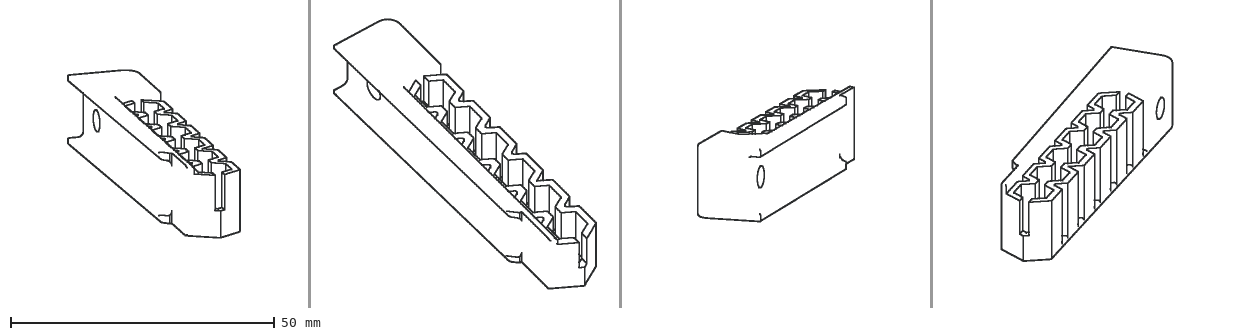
import cadquery as cq
import math

LENGTH = 68.45
DEPTH = 13.5
HEIGHT = 14.0
MID_Z = HEIGHT / 2
EDGE_RADIUS = 0.5
CORNER_RADIUS = 3.0

SOCKETS = 6
PITCH = 8.5
OUTER_RADIUS = 5.5
SOCKET_FLATS = 6.65
SOCKET_RADIUS = SOCKET_FLATS / math.sqrt(3)
ROW_Y = DEPTH - OUTER_RADIUS * math.cos(math.radians(30))
LAST_X = LENGTH - OUTER_RADIUS
FIRST_X = LAST_X - PITCH * (SOCKETS - 1)
SOCKET_XS = [FIRST_X + PITCH * i for i in range(SOCKETS)]
SOCKET_TOP = 12.45
FLOOR_Z = 1.5
PASSAGE_WIDTH = 1.85
END_SLOT_Z = 5.5
NOTCH_RADIUS = 0.5
SHARP_NOTCH = 3

RECESS_TIP_X = 13.9
RECESS_Y = 4.3

FRONT_WALL_Y = 2.95
RAIL_END_X = 56.15
RAIL_DRAFT = 1.0
RAIL_THICKNESS = 1.5
CHANNEL_FILLET = 1.0
RAIL_END_FACE = 0.4
RAIL_END_RADIUS = 2.0

HOLE_DIAMETER = 4.2
HOLE_X = 8.75

HEX_SLOPE = math.tan(math.radians(30))
RAIL_SLOPE = math.tan(math.radians(RAIL_DRAFT))
RAIL_END_Y = RAIL_END_X * RAIL_SLOPE
OVERRUN = 3.4
TOLERANCE = 0.01


def near(a, b):
    return abs(a - b) < TOLERANCE


def prism(points, bottom, top):
    base = cq.Workplane("XY").workplane(offset=bottom)
    return base.polyline(points).close().extrude(top - bottom)


def hexagon(x, radius, bottom, top):
    angles = [math.radians(60 * i) for i in range(6)]
    points = [(x + radius * math.cos(a), ROW_Y + radius * math.sin(a)) for a in angles]
    return prism(points, bottom, top)


def fillet_where(part, test, radius):
    chosen = part.edges().filter(test)
    return part.newObject(chosen.vals()).fillet(radius)


def recess():
    far_x = LENGTH + OVERRUN
    far_y = DEPTH + OVERRUN
    front_corner_x = RECESS_TIP_X + (ROW_Y - RECESS_Y) * HEX_SLOPE
    points = [
        (RECESS_TIP_X, ROW_Y),
        (front_corner_x, RECESS_Y),
        (far_x, RECESS_Y),
        (far_x, far_y),
        (RECESS_TIP_X + (far_y - ROW_Y) * HEX_SLOPE, far_y),
    ]
    space = prism(points, FLOOR_Z, HEIGHT + OVERRUN)

    def is_inner_corner(edge):
        middle = edge.Center()
        is_vertical = edge.BoundingBox().zlen > TOLERANCE
        return is_vertical and middle.x < front_corner_x + TOLERANCE and middle.y < DEPTH

    return fillet_where(space, is_inner_corner, EDGE_RADIUS)


def is_body_rounding(edge):
    """True for the body edges that are rounded before the channel is cut."""
    middle = edge.Center()
    on_front_wall = near(middle.y, FRONT_WALL_Y)
    on_rail_end = near(middle.x, RAIL_END_X)
    on_back = near(middle.y, DEPTH)
    if edge.BoundingBox().zlen > TOLERANCE:
        wall_corner = on_front_wall and middle.x > RAIL_END_X + TOLERANCE
        recess_corner = on_back and RECESS_TIP_X < middle.x < FIRST_X
        return wall_corner or recess_corner
    if near(middle.z, FLOOR_Z):
        return on_back
    return not (on_front_wall or on_rail_end)


def body():
    outline = [
        (0, 0),
        (RAIL_END_X, RAIL_END_Y),
        (RAIL_END_X, FRONT_WALL_Y),
        (LENGTH - (ROW_Y - FRONT_WALL_Y) * HEX_SLOPE, FRONT_WALL_Y),
        (LENGTH, ROW_Y),
        (LENGTH - (DEPTH - ROW_Y) * HEX_SLOPE, DEPTH),
        (0, DEPTH),
    ]
    block = prism(outline, 0, HEIGHT)
    block = block.edges("|Z").edges("<X").edges(">Y").fillet(CORNER_RADIUS)
    return fillet_where(block.cut(recess()), is_body_rounding, EDGE_RADIUS)


def is_channel_rim(edge):
    """True for the channel mouth at the -X end and for the inner front edges of the rails."""
    middle = edge.Center()
    box = edge.BoundingBox()
    between_rails = abs(middle.z - MID_Z) < MID_Z - RAIL_THICKNESS + TOLERANCE
    at_mouth = box.xmax < TOLERANCE and middle.y < FRONT_WALL_Y + TOLERANCE
    rail_front = box.xlen > RAIL_END_X / 2 and middle.y < RAIL_END_Y
    return between_rails and (at_mouth or rail_front)


def cut_channel(part):
    channel = (
        cq.Workplane("XY")
        .box(
            RAIL_END_X + OVERRUN,
            FRONT_WALL_Y + OVERRUN,
            HEIGHT - 2 * RAIL_THICKNESS,
            centered=False,
        )
        .translate((-OVERRUN, -OVERRUN, RAIL_THICKNESS))
        .edges("|X and >Y")
        .fillet(CHANNEL_FILLET)
    )
    return fillet_where(part.cut(channel), is_channel_rim, EDGE_RADIUS)


def cut_rail_ends(part):
    bevel_y = FRONT_WALL_Y - RAIL_END_FACE
    meet_x = (RAIL_END_X - bevel_y) / (1 - RAIL_SLOPE)
    meet_y = meet_x * RAIL_SLOPE
    start_x = meet_x - RAIL_END_RADIUS
    far_x = RAIL_END_X + OVERRUN
    points = [
        (RAIL_END_X, bevel_y),
        (meet_x, meet_y),
        (start_x, start_x * RAIL_SLOPE),
        (start_x, -OVERRUN),
        (far_x, -OVERRUN),
        (far_x, bevel_y),
    ]
    waste = prism(points, 0, HEIGHT)
    bend = waste.edges(cq.selectors.NearestToPointSelector((meet_x, meet_y, MID_Z)))
    return part.cut(bend.fillet(RAIL_END_RADIUS))


def is_rounded_notch(edge):
    """True for the inner corner of each notch between neighbouring socket walls."""
    middle = edge.Center()
    gap = (middle.x - FIRST_X) / PITCH - 0.5
    is_vertical = edge.BoundingBox().zlen > TOLERANCE
    is_sharp = round(gap) == SHARP_NOTCH and middle.y > ROW_Y
    return is_vertical and near(gap, round(gap)) and not is_sharp


def socket_block():
    bottom = FLOOR_Z - EDGE_RADIUS
    block = hexagon(FIRST_X, OUTER_RADIUS, bottom, SOCKET_TOP)
    for x in SOCKET_XS[1:]:
        block = block.union(hexagon(x, OUTER_RADIUS, bottom, SOCKET_TOP))
    block = fillet_where(block, is_rounded_notch, NOTCH_RADIUS)
    behind_wall = cq.Workplane("XY").box(LENGTH, DEPTH, HEIGHT, centered=False)
    return block.intersect(behind_wall.translate((0, RECESS_Y, 0)))


def row_slot(start_x, end_x, bottom):
    slot = cq.Workplane("XY").box(end_x - start_x, PASSAGE_WIDTH, HEIGHT, centered=(False, True, False))
    return slot.translate((start_x, ROW_Y, bottom))


def cut_sockets(part):
    for x in SOCKET_XS:
        part = part.cut(hexagon(x, SOCKET_RADIUS, FLOOR_Z, HEIGHT))
    part = part.cut(row_slot(FIRST_X, LAST_X, FLOOR_Z))
    return part.cut(row_slot(FIRST_X - OUTER_RADIUS, LENGTH, END_SLOT_Z))


def cross_hole():
    return cq.Workplane("XZ").center(HOLE_X, MID_Z).circle(HOLE_DIAMETER / 2).extrude(-DEPTH)


holder = cut_rail_ends(cut_channel(body()))
holder = cut_sockets(holder.union(socket_block()))
result = holder.cut(cross_hole())